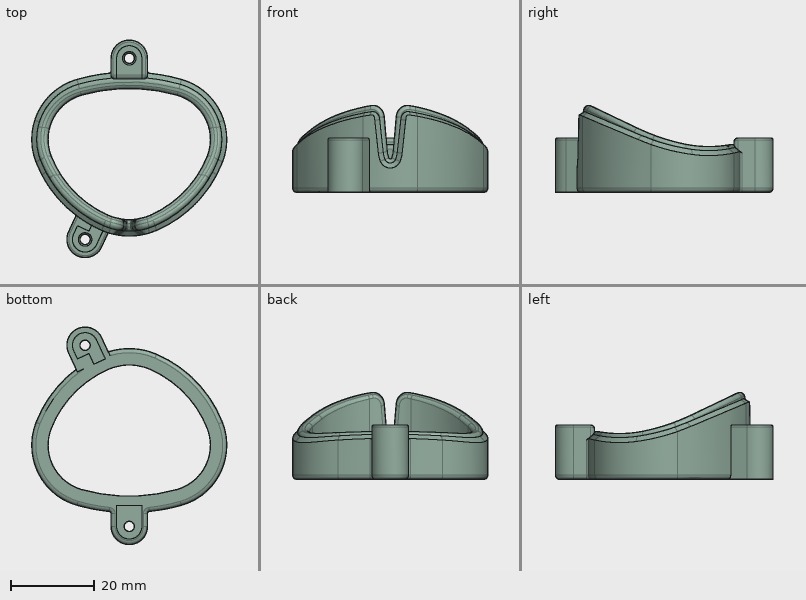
import cadquery as cq
import math

FRONT_Y = -20.95
FRONT_ARC = (16.5, 23.4)
FLANK_ARC = (29.7, 45.1)
SIDE_ARC = (15.0, 95.6)
WALL = 3.95
SKIN = 1.2
SKIN_LIFT = 0.2
SKIN_RISE_LOSS = 3.0
SKIN_SLOT_FLARE = 1.5
RIM_FILLET = 1.0
BASE_FILLET = 1.0

DIP_Y = 10.7
DIP_Z = 11.05
DIP_RADIUS = 28.45
DIP_BACK_TURN = 20.0
DIP_FRONT_TURN = 11.3
RISE_ARC = (48.9, 14.2)

SLOT_BOTTOM_Z = 8.05
SLOT_BOTTOM_ARC = (0.35, 68.0)
SLOT_SIDE_ARC = (5.2, 17.2)
SLOT_CORNER = 3.0

LUG_RADIUS = 4.4
LUG_HEIGHT = 13.05
LUG_LENGTH = 5.0
LUG_EDGE = 0.5
LUG_END_FILLET = 1.0
REAR_HOLE = (0.0, 21.75)
FRONT_HOLE = (-10.6, -21.75)
FRONT_LUG_TURN = 155.0

CORE_RADIUS = 3.05
HOLE_DIAMETER = 2.4
HOLE_CHAMFER = 0.4
NOTCH_START = 2.2

REACH = 31.35
TOUCHING = 0.0005
ABOVE_BASE = cq.selectors.BoxSelector((-REACH, -REACH, 0.5), (REACH, REACH, REACH))


def add_arcs(sketch, start, heading, arcs):
    """Extends a sketch from `start` by left-turning arcs; returns it with its end and end heading."""
    x, y = start
    for radius, turn in arcs:
        centre_x = x - radius * math.sin(math.radians(heading))
        centre_y = y + radius * math.cos(math.radians(heading))
        half_way = math.radians(heading + turn / 2)
        heading += turn
        x = centre_x + radius * math.sin(math.radians(heading))
        y = centre_y - radius * math.cos(math.radians(heading))
        middle = (centre_x + radius * math.sin(half_way), centre_y - radius * math.cos(half_way))
        sketch = sketch.threePointArc(middle, (x, y))
    return sketch, (x, y), heading


def line_to_x(start, heading, x):
    """Point at `x` on the straight line that leaves `start` at `heading`."""
    return (x, start[1] + (x - start[0]) * math.tan(math.radians(heading)))


def ring_outline():
    half = [FRONT_ARC, FLANK_ARC, SIDE_ARC]
    start = (0, FRONT_Y)
    sketch, (end_x, _), heading = add_arcs(cq.Workplane("XY").moveTo(*start), start, 0, half)
    back_half_turn = 180 - heading
    back_radius = end_x / math.sin(math.radians(back_half_turn))
    whole = half + [(back_radius, 2 * back_half_turn)] + half[::-1]
    return add_arcs(cq.Workplane("XY").moveTo(*start), start, 0, whole)[0].close()


def ring_prism(inset):
    outline = ring_outline()
    if inset:
        outline = outline.offset2D(-inset)
    return outline.extrude(REACH)


def above_rim(drop, rise_loss):
    """Everything over the rim surface, after it rises less and is lowered square to itself."""
    plane = cq.Plane(origin=(0, 0, 0), xDir=(0, -1, 0), normal=(-1, 0, 0))
    back_turn = math.radians(DIP_BACK_TURN)
    back = (
        -DIP_Y - DIP_RADIUS * math.sin(back_turn),
        DIP_Z + DIP_RADIUS * (1 - math.cos(back_turn)),
    )
    arcs = [(DIP_RADIUS, DIP_BACK_TURN + DIP_FRONT_TURN - rise_loss), RISE_ARC]
    sketch, end, heading = add_arcs(cq.Workplane(plane).moveTo(*back), back, -DIP_BACK_TURN, arcs)
    outline = (
        sketch.lineTo(*line_to_x(end, heading, REACH))
        .lineTo(REACH, 2 * REACH)
        .lineTo(back[0], 2 * REACH)
        .close()
    )
    if drop:
        outline = outline.offset2D(drop)
    return outline.extrude(REACH, both=True)


def slot(widening, flare):
    """Tapered slot through the front wall, with a round bottom and sides that lean out by `flare`."""
    bottom = (0, SLOT_BOTTOM_Z)
    side_arc = (SLOT_SIDE_ARC[0], SLOT_SIDE_ARC[1] - flare)
    arcs = [SLOT_BOTTOM_ARC, side_arc]
    _, (end_x, end_z), heading = add_arcs(cq.Workplane("XZ").moveTo(*bottom), bottom, 0, arcs)
    top_x = end_x + (REACH - end_z) / math.tan(math.radians(heading))
    start = (-end_x, end_z)
    bottom_arc = (SLOT_BOTTOM_ARC[0], 2 * SLOT_BOTTOM_ARC[1])
    sketch = cq.Workplane("XZ").moveTo(-top_x, REACH).lineTo(*start)
    whole = [side_arc, bottom_arc, side_arc]
    outline = add_arcs(sketch, start, -heading, whole)[0].lineTo(top_x, REACH).close()
    if widening:
        outline = outline.offset2D(widening)
    return outline.extrude(REACH)


def cut_wall(outer_inset, inner_inset, drop, rise_loss, flare, corner):
    """A wall cut by the rim surface and the slot, with the corners between them rounded."""
    wall = ring_prism(outer_inset).cut(ring_prism(inner_inset))
    wall = wall.cut(above_rim(drop, rise_loss)).cut(slot(drop, flare))
    return wall.edges(cq.selectors.BoxSelector((-3.05, -31.35, 17.75), (3.05, 0, 31.35))).fillet(corner)


def rim_edges(wall, inset):
    """Edges of the rim and the slot on the wall's face at `inset` from the outline."""
    side = cq.Compound.makeCompound(ring_prism(inset).faces("not |Z").vals())

    def on_side(edge):
        spots = [cq.Vertex.makeVertex(*edge.positionAt(t).toTuple()) for t in (0.25, 0.75)]
        return all(side.distance(spot) < TOUCHING for spot in spots)

    return [edge for edge in wall.edges("not |Z").edges(ABOVE_BASE).vals() if on_side(edge)]


def make_ring():
    rim = cut_wall(SKIN, WALL, 0, 0, 0, SLOT_CORNER)
    rim = rim.newObject(rim_edges(rim, SKIN) + rim_edges(rim, WALL)).fillet(RIM_FILLET)
    drop = RIM_FILLET - SKIN_LIFT
    skin_inner = (SKIN + WALL) / 2
    skin = cut_wall(0, skin_inner, drop, SKIN_RISE_LOSS, SKIN_SLOT_FLARE, SLOT_CORNER - drop)
    skin = skin.newObject(rim_edges(skin, 0)).chamfer(SKIN + SKIN_LIFT)
    return skin.union(rim)


def lug_prism(radius):
    return (
        cq.Workplane("XY")
        .moveTo(-radius, -LUG_LENGTH)
        .lineTo(-radius, 0)
        .threePointArc((0, radius), (radius, 0))
        .lineTo(radius, -LUG_LENGTH)
        .close()
        .extrude(LUG_HEIGHT)
    )


def make_lug(end_rounded):
    lug = lug_prism(LUG_RADIUS)
    if end_rounded:
        lug = lug.faces("<Y").edges("not <Z").fillet(LUG_END_FILLET)
    return lug.faces(">Z").edges("not <Y").fillet(LUG_EDGE)


def core_blank(end_rounded, notched):
    """A core before its hole is made; it is also the pocket that the core sits in."""
    core = make_lug(end_rounded).intersect(lug_prism(CORE_RADIUS))
    if notched:
        depth = LUG_LENGTH - NOTCH_START
        notch = cq.Workplane("XY").box(CORE_RADIUS, depth, LUG_HEIGHT, centered=False)
        core = core.cut(notch.translate((0, -LUG_LENGTH, 0)))
    return core


def make_core(blank):
    core = blank.cut(cq.Workplane("XY").circle(HOLE_DIAMETER / 2).extrude(LUG_HEIGHT))
    mouth = cq.selectors.RadiusNthSelector(0)
    return core.faces(">Z").edges("%CIRCLE").edges(mouth).chamfer(HOLE_CHAMFER)


def place_rear(part):
    return part.translate(REAR_HOLE + (0,))


def place_front(part):
    return part.rotate((0, 0, 0), (0, 0, 1), FRONT_LUG_TURN).translate(FRONT_HOLE + (0,))


def make_housing():
    """Ring with both lugs, before the pockets for the cores are cut."""
    housing = make_ring().union(place_rear(make_lug(end_rounded=True)))
    lug_sides = cq.selectors.BoxSelector((-LUG_RADIUS - 0.5, 17.75, 2.6), (LUG_RADIUS + 0.5, 18.8, 7.85))
    housing = housing.edges("|Z").edges(lug_sides).fillet(LUG_EDGE)
    housing = housing.faces("<Z").wires(cq.selectors.LengthNthSelector(-1)).fillet(BASE_FILLET)
    return housing.union(place_front(make_lug(end_rounded=False)))


housing = make_housing()
cores = []
for place, is_rear in [(place_rear, True), (place_front, False)]:
    blank = core_blank(end_rounded=is_rear, notched=not is_rear)
    housing = housing.cut(place(blank))
    cores.append(place(make_core(blank)))
result = cq.Compound.makeCompound([housing.val()] + [core.val() for core in cores])